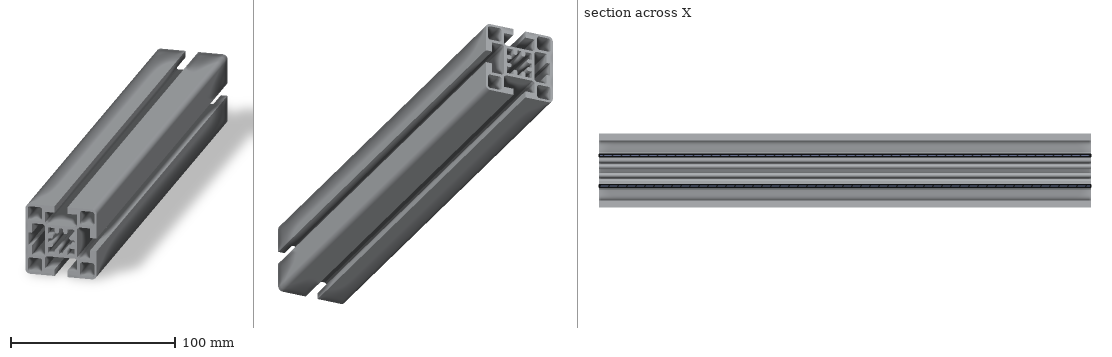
import cadquery as cq

length = 300.0
side = 45.0
half_side = side / 2
corner_radius = 3.0

outer_wall = 1.5
pocket_wall = 1.8
channel_wall = 1.8
lip_thickness = 4.2
cover_thickness = 1.8

slot_opening = 8.0
slot_inner_width = 20.5
slot_floor = slot_inner_width / 2
slot_chamfer = 1.2

pocket_min = slot_inner_width / 2 + pocket_wall
pocket_max = half_side - outer_wall
pocket_radius = 1.5

channel_width = 2 * (slot_floor - channel_wall)
channel_corner_radius = 0.5
tooth_offset = 2.7
tooth_width = 2.7
tooth_tip = 5.0


def bar(x_size, z_size, x=0, z=0):
    """Full-length rectangular bar along Y, centred on (x, z)."""
    return cq.Workplane("XY").box(x_size, length, z_size).translate((x, 0, z))


def turned(body, quarter_turns):
    """Body turned about the bar axis by a number of quarter turns."""
    return body.rotate((0, 0, 0), (0, 1, 0), 90 * quarter_turns)


def slot_undercut():
    """Wide inner part of the T-slot facing +Z, with chamfered floor corners."""
    depth = half_side - lip_thickness - slot_floor
    blank = bar(slot_inner_width, depth, z=slot_floor + depth / 2)
    return blank.faces("<Z").edges("|Y").chamfer(slot_chamfer)


def slot_mouth(outer_z):
    """Narrow part of the T-slot facing +Z, reaching out to outer_z."""
    depth = outer_z - slot_floor
    return bar(slot_opening, depth, z=slot_floor + depth / 2)


def corner_pocket():
    """Hollow in the +X +Z corner."""
    size = pocket_max - pocket_min
    middle = (pocket_max + pocket_min) / 2
    return bar(size, size, middle, middle).edges("|Y").fillet(pocket_radius)


def screw_channel():
    """Square hollow along the bar axis."""
    return bar(channel_width, channel_width).edges("|Y").fillet(channel_corner_radius)


def tooth(x):
    """Round-tipped tooth on the +Z wall of the screw channel."""
    tip_radius = tooth_width / 2
    shoulder_z = tooth_tip + tip_radius
    root_z = slot_floor - channel_wall / 2
    return (
        cq.Workplane("XZ", origin=(0, length / 2, 0))
        .moveTo(x - tip_radius, root_z)
        .lineTo(x - tip_radius, shoulder_z)
        .threePointArc((x, tooth_tip), (x + tip_radius, shoulder_z))
        .lineTo(x + tip_radius, root_z)
        .close()
        .extrude(length)
    )


result = bar(side, side).edges("|Y").fillet(corner_radius)
result = result.cut(screw_channel())

closed_turn = 3
for turn in range(4):
    mouth_end = half_side - cover_thickness if turn == closed_turn else half_side
    result = result.cut(turned(slot_undercut(), turn))
    result = result.cut(turned(slot_mouth(mouth_end), turn))
    result = result.cut(turned(corner_pocket(), turn))
    for x in (-tooth_offset, tooth_offset):
        result = result.union(turned(tooth(x), turn))